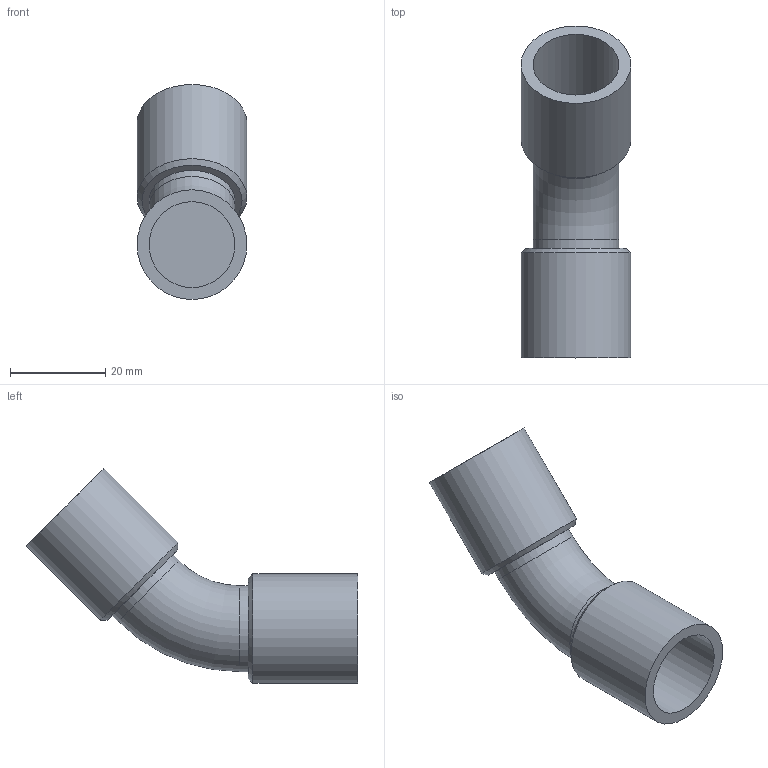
import cadquery as cq
import math

socket_diameter = 23.0
bore_diameter = 18.0
neck_diameter = 18.0
socket_length = 23.0
bore_depth = 21.0
chamfer_size = 1.0
straight_neck_length = 1.8
bend_radius = 1.5 * neck_diameter
bend_angle = 45.0

leg_length = socket_length + straight_neck_length

corner_distance = leg_length + bend_radius * math.tan(math.radians(bend_angle / 2))


def make_leg():
    """Socket with its straight neck, along +Y from the open end at the origin."""
    socket = (
        cq.Workplane("XZ")
        .circle(socket_diameter / 2)
        .extrude(-socket_length)
        .faces(">Y")
        .chamfer(chamfer_size)
    )
    neck = (
        cq.Workplane("XZ", origin=(0, socket_length, 0))
        .circle(neck_diameter / 2)
        .extrude(-straight_neck_length)
    )
    bore = cq.Workplane("XZ").circle(bore_diameter / 2).extrude(-bore_depth)
    return socket.union(neck, clean=False).cut(bore, clean=False)


def make_bend():
    """Solid curved neck from the end of the lower leg, turning up toward +Z."""
    return (
        cq.Workplane("XZ", origin=(0, leg_length, 0))
        .circle(neck_diameter / 2)
        .revolve(bend_angle, (-1, bend_radius, 0), (1, bend_radius, 0))
    )


def make_upper_leg():
    """Copy of the lower leg, reversed and tilted about the corner by the bend angle."""
    corner = (0, corner_distance, 0)
    beyond_corner = (1, corner_distance, 0)
    return make_leg().rotate(corner, beyond_corner, 180 + bend_angle)


result = make_leg().union(make_bend(), clean=False).union(make_upper_leg(), clean=False)